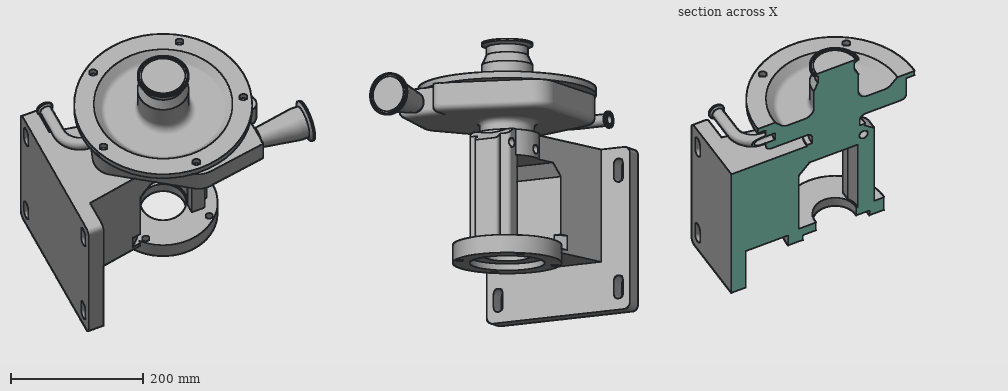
import cadquery as cq
import math


PLATE_SIZE = 250.0
PLATE_THICKNESS = 25.0
PLATE_OUTER_Y = -180.0
PLATE_INNER_Y = PLATE_OUTER_Y + PLATE_THICKNESS
PLATE_CORNER_RADIUS = 10.0
SLOT_LENGTH = 36.0
SLOT_WIDTH = 16.0
SLOT_SPACING_X = 210.0
SLOT_SPACING_Z = 180.0

BRACKET_TOP_Z = PLATE_SIZE
BRACKET_BOTTOM_Z = 76.5
BRACKET_WIDTH_AT_PLATE = 149.5
BRACKET_FRONT_Y = -63.5
BRACKET_RING_Y = -14.5
BRACKET_CHAMFER_Y = 18.0
BRACKET_CHAMFER_Z = 19.0
BOLT_RELIEF_TOP_Z = 105.0
BOLT_RELIEF_BACK_Y = -77.7

RING_RADIUS = 50.0
RING_BOTTOM_Z = 213.0
RING_TOP_Z = 252.5
RING_PORT_DIAMETER = 14.0
RING_PORT_DEPTH = 10.0
RING_PORT_Z = 226.0

MOTOR_FLANGE_RADIUS = 82.5
MOTOR_FLANGE_BOTTOM_Z = 55.5
MOTOR_FLANGE_TOP_Z = 83.0
MOTOR_FLANGE_BORE_RADIUS = 34.5
MOTOR_REGISTER_RADIUS = 57.0
MOTOR_REGISTER_DEPTH = 10.0
MOTOR_BOLT_CIRCLE_RADIUS = 74.5
MOTOR_BOLT_DIAMETER = 11.0
MOTOR_BOLT_COUNT = 4
MOTOR_BOLT_START_ANGLE = 45.0

POST_WIDTH = 71.0
POST_INNER_Y = 31.5
POST_SHOULDER_Y = 55.5
POST_SHOULDER_RADIUS = 6.0
POST_BORE_RADIUS = 37.0
POST_RIB_WIDTH = 40.0
POST_RIB_OUTER_Y = 65.5
POST_RIB_RADIUS = 5.5
POST_BEVEL_Y = 21.5
POST_BEVEL_Z = 16.5
POST_HOLE_DIAMETER = 14.0
POST_HOLE_Y = 47.0
POST_HOLE_Z = 230.0

CASING_BOTTOM_Z = 272.2
CASING_TOP_Z = 314.5
CASING_INRADIUS = 114.0
CASING_CORNER_RADIUS = 33.0
CASING_BOTTOM_FILLET = 9.5
CASING_SIDES = 5
CUTWATER_X = 58.5
CUTWATER_RADIUS = 14.0
DISCHARGE_END_X = 124.5
DISCHARGE_END_Y = 110.0
DISCHARGE_WALL_ANGLE = 9.5

HUB_RADIUS = 41.2
HUB_FILLET = 9.5

COVER_RADIUS = 134.75
COVER_TOP_Z = 324.5
COVER_BOLT_CIRCLE_RADIUS = 122.0
COVER_BOLT_DIAMETER = 12.0
RECESS_RADIUS = 105.0
RECESS_DEPTH = 15.5
RECESS_FILLET = 15.0
RECESS_WALL_ANGLE = 45.0

INLET_TOP_Z = 394.0
INLET_BODY_RADIUS = 38.75
INLET_NECK_RADIUS = 31.75
INLET_CONE_BOTTOM_Z = 360.0
INLET_CONE_TOP_Z = 375.0
INLET_RIM_RADIUS = 38.75
INLET_ROOT_FILLET = 15.0

RIM_THICKNESS = 3.0
RIM_TAPER = 3.5
RIM_GROOVE_RADIUS = 1.5
RIM_GROOVE_INSET = 3.75

NOZZLE_X = 95.5
NOZZLE_Z = 292.5
NOZZLE_END_Y = 195.0
NOZZLE_RIM_RADIUS = 32.0
NOZZLE_NECK_RADIUS = 25.0
NOZZLE_CONE_END_Y = 176.5
NOZZLE_CONE_START_Y = 114.0
NOZZLE_CONE_START_RADIUS = 15.5
NOZZLE_STUB_RADIUS = 12.7
NOZZLE_STUB_START_Y = 100.0

DRAIN_Z = 295.1
DRAIN_Y = -157.5
DRAIN_START_X = -88.0
DRAIN_BEND_START_X = -35.0
DRAIN_BEND_RADIUS = 35.0
DRAIN_PIPE_RADIUS = 9.25
DRAIN_BORE_RADIUS = 7.0
DRAIN_RIM_RADIUS = 12.7
DRAIN_RIM_THICKNESS = 2.8
DRAIN_RIM_TAPER = 2.8
DRAIN_RIM_GROOVE_RADIUS = 1.2
DRAIN_RIM_GROOVE_INSET = 2.8
DRAIN_INNER_Y = -105.0


def disc(radius, bottom_z, top_z):
    """Solid cylinder on the pump axis."""
    return cq.Workplane("XY").workplane(offset=bottom_z).circle(radius).extrude(top_z - bottom_z)


def block(x_min, x_max, y_min, y_max, z_min, z_max):
    """Axis-aligned box given by its limits."""
    size = (x_max - x_min, y_max - y_min, z_max - z_min)
    return cq.Workplane("XY").box(*size, centered=False).translate((x_min, y_min, z_min))


def polar(radius, degrees):
    """Point at a distance and direction from the pump axis."""
    angle = math.radians(degrees)
    return radius * math.cos(angle), radius * math.sin(angle)


def mounting_plate():
    center_z = PLATE_SIZE / 2
    plate = block(-PLATE_SIZE / 2, PLATE_SIZE / 2, PLATE_OUTER_Y, PLATE_INNER_Y, 0, PLATE_SIZE)
    plate = plate.edges("|Y").fillet(PLATE_CORNER_RADIUS)
    slots = (
        cq.Workplane("XZ", origin=(0, PLATE_INNER_Y, center_z))
        .rarray(SLOT_SPACING_X, SLOT_SPACING_Z, 2, 2)
        .slot2D(SLOT_LENGTH, SLOT_WIDTH, 90)
        .extrude(PLATE_THICKNESS)
    )
    return plate.cut(slots)


def bracket():
    corner_x = BRACKET_WIDTH_AT_PLATE / 2
    touch_x = math.sqrt(RING_RADIUS**2 - BRACKET_RING_Y**2)
    plan = [
        (-corner_x, PLATE_INNER_Y),
        (corner_x, PLATE_INNER_Y),
        (touch_x, BRACKET_RING_Y),
        (-touch_x, BRACKET_RING_Y),
    ]
    body = cq.Workplane("XY").workplane(offset=BRACKET_BOTTOM_Z).polyline(plan).close()
    body = body.extrude(BRACKET_TOP_Z - BRACKET_BOTTOM_Z)

    opening = (
        cq.Workplane("YZ", origin=(-PLATE_SIZE / 2, 0, 0))
        .moveTo(RING_RADIUS, BRACKET_BOTTOM_Z)
        .lineTo(BRACKET_FRONT_Y, BRACKET_BOTTOM_Z)
        .lineTo(BRACKET_FRONT_Y, RING_BOTTOM_Z - BRACKET_CHAMFER_Z)
        .lineTo(BRACKET_FRONT_Y + BRACKET_CHAMFER_Y, RING_BOTTOM_Z)
        .lineTo(RING_RADIUS, RING_BOTTOM_Z)
        .close()
        .extrude(PLATE_SIZE)
    )
    body = body.cut(opening)

    wall_slope = (corner_x - touch_x) / (BRACKET_RING_Y - PLATE_INNER_Y)
    relief_x = touch_x + wall_slope * (BRACKET_RING_Y - BOLT_RELIEF_BACK_Y)
    reach = BRACKET_FRONT_Y - BOLT_RELIEF_BACK_Y
    for side in (-1, 1):
        triangle = [
            (side * relief_x, BOLT_RELIEF_BACK_Y),
            (side * relief_x, BRACKET_FRONT_Y),
            (side * (relief_x - reach), BRACKET_FRONT_Y),
        ]
        relief = cq.Workplane("XY").workplane(offset=MOTOR_FLANGE_TOP_Z).polyline(triangle).close()
        body = body.cut(relief.extrude(BOLT_RELIEF_TOP_Z - MOTOR_FLANGE_TOP_Z))
    return body


def motor_flange():
    flange = disc(MOTOR_FLANGE_RADIUS, MOTOR_FLANGE_BOTTOM_Z, MOTOR_FLANGE_TOP_Z)
    bore = disc(MOTOR_FLANGE_BORE_RADIUS, MOTOR_FLANGE_BOTTOM_Z, MOTOR_FLANGE_TOP_Z)
    register_top_z = MOTOR_FLANGE_BOTTOM_Z + MOTOR_REGISTER_DEPTH
    register = disc(MOTOR_REGISTER_RADIUS, MOTOR_FLANGE_BOTTOM_Z, register_top_z)
    return flange.cut(bore).cut(register)


def motor_bolt_holes():
    thickness = MOTOR_FLANGE_TOP_Z - MOTOR_FLANGE_BOTTOM_Z
    return (
        cq.Workplane("XY")
        .workplane(offset=MOTOR_FLANGE_BOTTOM_Z)
        .polarArray(MOTOR_BOLT_CIRCLE_RADIUS, MOTOR_BOLT_START_ANGLE, 360, MOTOR_BOLT_COUNT)
        .circle(MOTOR_BOLT_DIAMETER / 2)
        .extrude(thickness)
    )


def rear_post():
    half_width = POST_WIDTH / 2
    half_rib = POST_RIB_WIDTH / 2
    wide = block(
        -half_width, half_width, POST_INNER_Y, POST_SHOULDER_Y, MOTOR_FLANGE_TOP_Z, RING_TOP_Z
    )
    wide = wide.edges("|Z and >Y").fillet(POST_SHOULDER_RADIUS)
    rib = block(-half_rib, half_rib, POST_INNER_Y, POST_RIB_OUTER_Y, MOTOR_FLANGE_TOP_Z, RING_TOP_Z)
    rib = rib.edges("|Z and >Y").fillet(POST_RIB_RADIUS)
    post = wide.union(rib).cut(disc(POST_BORE_RADIUS, MOTOR_FLANGE_TOP_Z, RING_BOTTOM_Z))
    bevel = (
        cq.Workplane("YZ", origin=(-half_width, 0, 0))
        .moveTo(POST_RIB_OUTER_Y, RING_TOP_Z)
        .lineTo(POST_RIB_OUTER_Y - POST_BEVEL_Y, RING_TOP_Z)
        .lineTo(POST_RIB_OUTER_Y, RING_TOP_Z - POST_BEVEL_Z)
        .close()
        .extrude(POST_WIDTH)
    )
    return post.cut(bevel)


def post_cross_hole():
    return (
        cq.Workplane("YZ", origin=(-POST_WIDTH / 2, POST_HOLE_Y, POST_HOLE_Z))
        .circle(POST_HOLE_DIAMETER / 2)
        .extrude(POST_WIDTH)
    )


def ring_port():
    return (
        cq.Workplane("YZ", origin=(-RING_RADIUS, 0, RING_PORT_Z))
        .circle(RING_PORT_DIAMETER / 2)
        .extrude(RING_PORT_DEPTH)
    )


def upright_edges_near(body, points):
    """Vertical edges of a prism that pass through the given plan points."""
    tolerance = 1.0
    edges = []
    for edge in body.edges("|Z").vals():
        middle = edge.Center()
        if any(math.hypot(middle.x - x, middle.y - y) < tolerance for x, y in points):
            edges.append(edge)
    return body.newObject(edges)


def casing():
    step = 360 / CASING_SIDES
    vertex_radius = CASING_INRADIUS / math.cos(math.radians(step / 2))
    corners = [polar(vertex_radius, step * i) for i in (2, 3, 4)]

    side_x, side_y = polar(1, -step / 2)
    wall_x, wall_y = polar(1, DISCHARGE_WALL_ANGLE)
    wall_reach = DISCHARGE_END_X * wall_x + DISCHARGE_END_Y * wall_y
    cross = side_x * wall_y - side_y * wall_x
    bulge = (
        (CASING_INRADIUS * wall_y - wall_reach * side_y) / cross,
        (side_x * wall_reach - wall_x * CASING_INRADIUS) / cross,
    )

    top_x, top_y = polar(1, 1.5 * step)
    cutwater = (CUTWATER_X, (CASING_INRADIUS - CUTWATER_X * top_x) / top_y)

    outline = corners + [
        bulge,
        (DISCHARGE_END_X, DISCHARGE_END_Y),
        (CUTWATER_X, DISCHARGE_END_Y),
        cutwater,
    ]
    body = cq.Workplane("XY").workplane(offset=CASING_BOTTOM_Z).polyline(outline).close()
    body = body.extrude(CASING_TOP_Z - CASING_BOTTOM_Z)
    body = upright_edges_near(body, corners + [bulge]).fillet(CASING_CORNER_RADIUS)
    body = upright_edges_near(body, [cutwater]).fillet(CUTWATER_RADIUS)
    return body.faces("<Z").edges().fillet(CASING_BOTTOM_FILLET)


def hub():
    root_z = CASING_BOTTOM_Z - HUB_FILLET
    return (
        cq.Workplane("XZ")
        .moveTo(0, RING_TOP_Z)
        .lineTo(HUB_RADIUS, RING_TOP_Z)
        .lineTo(HUB_RADIUS, root_z)
        .radiusArc((HUB_RADIUS + HUB_FILLET, CASING_BOTTOM_Z), HUB_FILLET)
        .lineTo(0, CASING_BOTTOM_Z)
        .close()
        .revolve(360, (0, 0, 0), (0, 1, 0))
    )


def cover_bolt_holes():
    thickness = COVER_TOP_Z - CASING_TOP_Z
    return (
        cq.Workplane("XY")
        .workplane(offset=CASING_TOP_Z)
        .polarArray(COVER_BOLT_CIRCLE_RADIUS, 0, 360, CASING_SIDES)
        .circle(COVER_BOLT_DIAMETER / 2)
        .extrude(thickness)
    )


def cover_recess():
    """Ring-shaped void around the inlet, sunk through the cover into the casing."""
    floor_z = COVER_TOP_Z - RECESS_DEPTH
    slant = math.radians(RECESS_WALL_ANGLE)
    fillet_rise = RECESS_FILLET * (1 - math.cos(slant))
    fillet_run = RECESS_FILLET * math.sin(slant)
    wall_foot_radius = RECESS_RADIUS - (RECESS_DEPTH - fillet_rise) / math.tan(slant)
    return (
        cq.Workplane("XZ")
        .moveTo(INLET_BODY_RADIUS, COVER_TOP_Z)
        .lineTo(RECESS_RADIUS, COVER_TOP_Z)
        .lineTo(wall_foot_radius, floor_z + fillet_rise)
        .radiusArc((wall_foot_radius - fillet_run, floor_z), RECESS_FILLET)
        .lineTo(INLET_BODY_RADIUS + INLET_ROOT_FILLET, floor_z)
        .radiusArc((INLET_BODY_RADIUS, floor_z + INLET_ROOT_FILLET), INLET_ROOT_FILLET)
        .close()
        .revolve(360, (0, 0, 0), (0, 1, 0))
    )


def inlet():
    neck_top_z = INLET_TOP_Z - RIM_THICKNESS - RIM_TAPER
    groove_center = INLET_RIM_RADIUS - RIM_GROOVE_INSET
    return (
        cq.Workplane("XZ")
        .moveTo(0, CASING_TOP_Z)
        .lineTo(INLET_BODY_RADIUS, CASING_TOP_Z)
        .lineTo(INLET_BODY_RADIUS, INLET_CONE_BOTTOM_Z)
        .lineTo(INLET_NECK_RADIUS, INLET_CONE_TOP_Z)
        .lineTo(INLET_NECK_RADIUS, neck_top_z)
        .lineTo(INLET_RIM_RADIUS, INLET_TOP_Z - RIM_THICKNESS)
        .lineTo(INLET_RIM_RADIUS, INLET_TOP_Z)
        .lineTo(groove_center + RIM_GROOVE_RADIUS, INLET_TOP_Z)
        .radiusArc((groove_center - RIM_GROOVE_RADIUS, INLET_TOP_Z), RIM_GROOVE_RADIUS)
        .lineTo(0, INLET_TOP_Z)
        .close()
        .revolve(360, (0, 0, 0), (0, 1, 0))
    )


def discharge_nozzle():
    neck_end_y = NOZZLE_END_Y - RIM_THICKNESS - RIM_TAPER
    groove_center = NOZZLE_RIM_RADIUS - RIM_GROOVE_INSET
    return (
        cq.Workplane("XY", origin=(NOZZLE_X, 0, NOZZLE_Z))
        .moveTo(0, NOZZLE_STUB_START_Y)
        .lineTo(NOZZLE_STUB_RADIUS, NOZZLE_STUB_START_Y)
        .lineTo(NOZZLE_STUB_RADIUS, NOZZLE_CONE_START_Y)
        .lineTo(NOZZLE_CONE_START_RADIUS, NOZZLE_CONE_START_Y)
        .lineTo(NOZZLE_NECK_RADIUS, NOZZLE_CONE_END_Y)
        .lineTo(NOZZLE_NECK_RADIUS, neck_end_y)
        .lineTo(NOZZLE_RIM_RADIUS, NOZZLE_END_Y - RIM_THICKNESS)
        .lineTo(NOZZLE_RIM_RADIUS, NOZZLE_END_Y)
        .lineTo(groove_center + RIM_GROOVE_RADIUS, NOZZLE_END_Y)
        .radiusArc((groove_center - RIM_GROOVE_RADIUS, NOZZLE_END_Y), RIM_GROOVE_RADIUS)
        .lineTo(0, NOZZLE_END_Y)
        .close()
        .revolve(360, (0, 0, 0), (0, 1, 0))
    )


def drain_run(radius):
    """Round bar along the drain's centreline: straight, quarter bend, straight into the casing."""
    bend_end_x = DRAIN_BEND_START_X + DRAIN_BEND_RADIUS
    bend_end_y = DRAIN_Y + DRAIN_BEND_RADIUS
    path = (
        cq.Workplane("XY", origin=(0, 0, DRAIN_Z))
        .moveTo(DRAIN_START_X, DRAIN_Y)
        .lineTo(DRAIN_BEND_START_X, DRAIN_Y)
        .radiusArc((bend_end_x, bend_end_y), -DRAIN_BEND_RADIUS)
        .lineTo(bend_end_x, DRAIN_INNER_Y)
    )
    section = cq.Workplane("YZ", origin=(DRAIN_START_X, DRAIN_Y, DRAIN_Z)).circle(radius)
    return section.sweep(path)


def drain_rim():
    groove_center = DRAIN_RIM_RADIUS - DRAIN_RIM_GROOVE_INSET
    rim_end = DRAIN_RIM_THICKNESS + DRAIN_RIM_TAPER
    return (
        cq.Workplane("XY", origin=(DRAIN_START_X, DRAIN_Y, DRAIN_Z))
        .lineTo(0, groove_center - DRAIN_RIM_GROOVE_RADIUS)
        .radiusArc((0, groove_center + DRAIN_RIM_GROOVE_RADIUS), DRAIN_RIM_GROOVE_RADIUS)
        .lineTo(0, DRAIN_RIM_RADIUS)
        .lineTo(DRAIN_RIM_THICKNESS, DRAIN_RIM_RADIUS)
        .lineTo(rim_end, DRAIN_PIPE_RADIUS)
        .lineTo(rim_end, 0)
        .close()
        .revolve(360, (0, 0, 0), (1, 0, 0))
    )


def stand():
    ring = disc(RING_RADIUS, RING_BOTTOM_Z, RING_TOP_Z)
    frame = mounting_plate().union(bracket()).union(motor_flange()).union(rear_post()).union(ring)
    return frame.cut(motor_bolt_holes()).cut(post_cross_hole()).cut(ring_port())


def pump():
    cover = disc(COVER_RADIUS, CASING_TOP_Z, COVER_TOP_Z)
    shell = casing().union(cover).cut(cover_recess()).cut(cover_bolt_holes())
    body = shell.union(hub()).union(inlet()).union(discharge_nozzle())
    return body.union(drain_run(DRAIN_PIPE_RADIUS)).union(drain_rim()).cut(drain_run(DRAIN_BORE_RADIUS))


result = stand().union(pump())